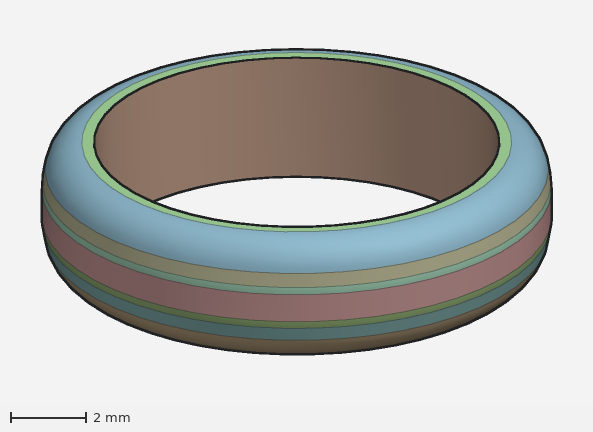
import cadquery as cq
import math

outer_radius = 13.6 / 2
bore_radius = 10.8 / 2
half_height = 3.5 / 2
rim_radius = 11.45 / 2

belt_half_height = 0.4
blend_half_height = 0.6
shoulder_half_height = 0.98

taper_angle = math.radians(10)
edge_round = 1.02

blend_round = (blend_half_height - belt_half_height) / math.sin(taper_angle)


def blend_point(angle):
    """Radius and height on the blend arc, turned by angle from the belt."""
    radius = outer_radius - blend_round * (1 - math.cos(angle))
    return radius, belt_half_height + blend_round * math.sin(angle)


def edge_point(angle):
    """Radius and height on the rounded edge, at angle above horizontal."""
    radius = rim_radius + edge_round * math.cos(angle)
    return radius, half_height - edge_round + edge_round * math.sin(angle)


def below(point):
    """Mirror a profile point across the mid-plane."""
    radius, height = point
    return radius, -height


shoulder_rise = shoulder_half_height - (half_height - edge_round)
shoulder_angle = math.asin(shoulder_rise / edge_round)

belt_end = blend_point(0)
blend_middle = blend_point(taper_angle / 2)
blend_end = blend_point(taper_angle)
shoulder = edge_point(shoulder_angle)
edge_middle = edge_point((shoulder_angle + math.pi / 2) / 2)
rim = (rim_radius, half_height)
bore_end = (bore_radius, half_height)

profile = (
    cq.Workplane("XZ")
    .moveTo(*below(bore_end))
    .lineTo(*below(rim))
    .threePointArc(below(edge_middle), below(shoulder))
    .lineTo(*below(blend_end))
    .threePointArc(below(blend_middle), below(belt_end))
    .lineTo(*belt_end)
    .threePointArc(blend_middle, blend_end)
    .lineTo(*shoulder)
    .threePointArc(edge_middle, rim)
    .lineTo(*bore_end)
    .close()
)

result = profile.revolve(360, (0, 0, 0), (0, 1, 0))